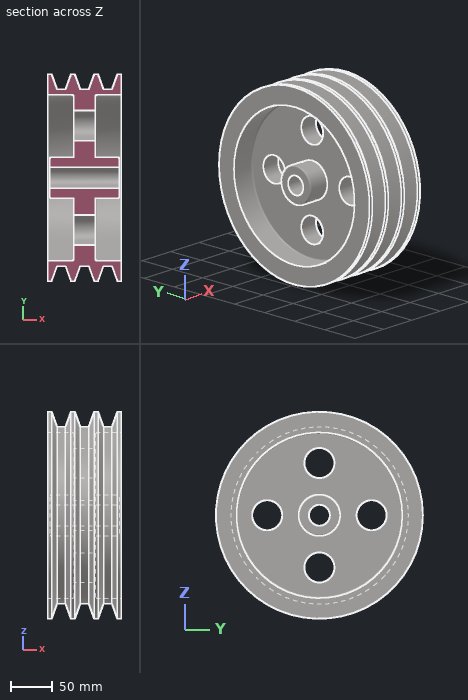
import cadquery as cq

width = 89.0
outer_radius = 125.0
rim_inner_radius = 100.0

groove_count = 3
groove_pitch = 28.0
groove_mouth = 23.0
groove_floor = 10.0
groove_depth = 18.0

web_thickness = 26.0
web_fillet = 2.0
hub_radius = 25.0
hub_length = 84.0
hub_edge_fillet = 2.0
bore_radius = 12.5
hole_count = 4
hole_radius = 18.0
hole_circle_radius = 63.0


def disc(radius, length):
    """Cylinder along X, centred on the origin."""
    return cq.Workplane("YZ").circle(radius).extrude(length / 2, both=True)


def belt_groove(x_center):
    """Trapezoidal ring cut into the rim."""
    floor_radius = outer_radius - groove_depth
    profile = [
        (x_center - groove_mouth / 2, outer_radius),
        (x_center - groove_floor / 2, floor_radius),
        (x_center + groove_floor / 2, floor_radius),
        (x_center + groove_mouth / 2, outer_radius),
    ]
    return cq.Workplane("XY").polyline(profile).close().revolve(360, (0, 0, 0), (1, 0, 0))


rim = disc(outer_radius, width).cut(disc(rim_inner_radius, width))
web = disc(rim_inner_radius, web_thickness)
body = rim.union(web)
corner_box = cq.selectors.BoxSelector(
    (-web_thickness, -outer_radius, -outer_radius),
    (web_thickness, outer_radius, outer_radius),
)
body = body.edges(corner_box).edges("%CIRCLE").fillet(web_fillet)

hub = disc(hub_radius, hub_length).edges("%CIRCLE").fillet(hub_edge_fillet)
body = body.union(hub)

for index in range(groove_count):
    offset = (index - (groove_count - 1) / 2) * groove_pitch
    body = body.cut(belt_groove(offset))

body = body.cut(disc(bore_radius, hub_length))
holes = (
    cq.Workplane("YZ")
    .polarArray(hole_circle_radius, 0, 360, hole_count)
    .circle(hole_radius)
    .extrude(web_thickness / 2, both=True)
)
result = body.cut(holes)